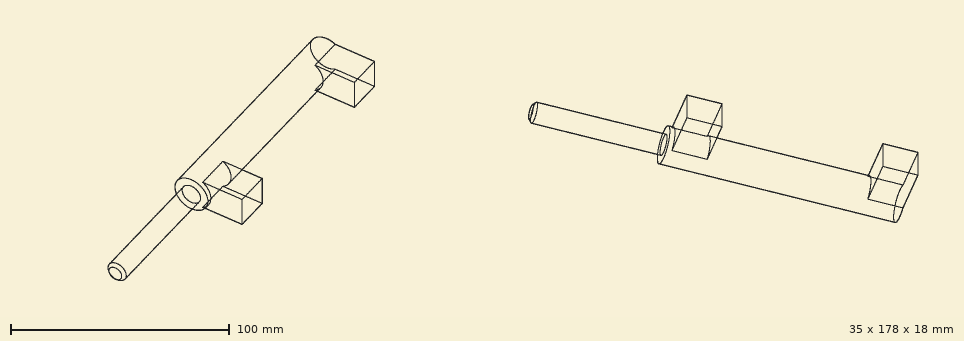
import cadquery as cq

body_diameter = 18.0
body_length = 114.0

pin_diameter = 10.0
pin_length = 64.0
pin_chamfer = 1.5

lug_reach = 26.0
lug_length = 17.0
lug_height = 15.5
front_lug_gap = 2.5


def rod(diameter, y_start, length):
    """Solid cylinder on the Y axis running from y_start towards +Y."""
    return (
        cq.Workplane("XZ", origin=(0, y_start, 0))
        .circle(diameter / 2)
        .extrude(-length)
    )


def make_pin():
    """Pin with a chamfered free end, ending where the body begins."""
    pin = rod(pin_diameter, -pin_length, pin_length)
    return pin.faces("<Y").chamfer(pin_chamfer)


def make_lug(y_start):
    """Block from the body axis out to its end face, starting at y_start."""
    return cq.Workplane("XY").box(
        lug_reach, lug_length, lug_height, centered=(False, False, True)
    ).translate((0, y_start, 0))


result = rod(body_diameter, 0, body_length).union(make_pin())

for lug_start in (front_lug_gap, body_length - lug_length):
    result = result.union(make_lug(lug_start))